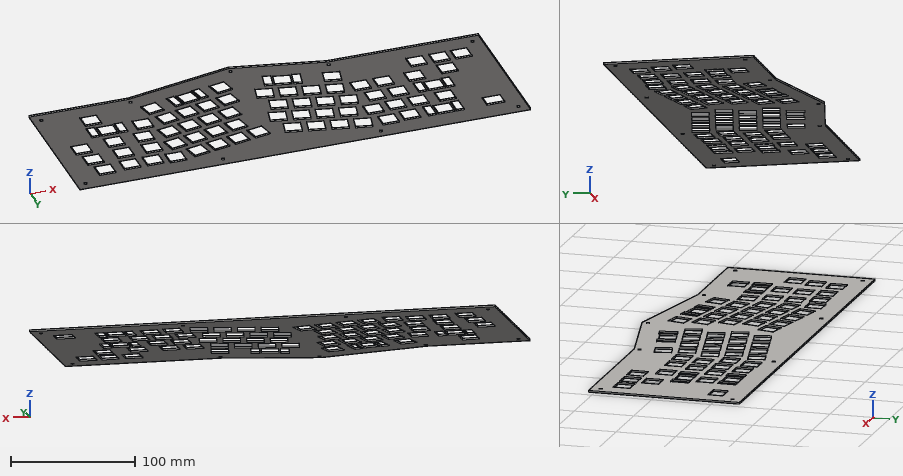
import cadquery as cq
import math

PLATE_LENGTH = 385.0
PLATE_DEPTH = 143.2
PLATE_THICKNESS = 1.5
LEFT_SIDE_DEPTH = 123.5
RIGHT_SIDE_DEPTH = 126.5
LEFT_BEND_X = -107.5
RIGHT_BEND_X = 63.0
POINT_X = -15.0

PLATE_LENGTH_IN_KEYS = 20.2
KEY_PITCH = PLATE_LENGTH / PLATE_LENGTH_IN_KEYS
KEY_WEB = 5.0
KEY_SIZE = KEY_PITCH - KEY_WEB

SLOT_WIDTH = 7.0
SLOT_HEIGHT = 15.0
SLOT_SPACING = 12.0
SLOT_DROP = 0.5

KNOB_CENTER = (169.5, 47.0)
KNOB_WIDTH = 15.5
KNOB_HEIGHT = 12.5

HOLE_DIAMETER = 2.55
TOP_HOLE_Y = 63.5
OUTER_HOLE_X = 184.8
INNER_HOLE_X = 67.5
LEFT_HOLE_Y = -43.5
RIGHT_HOLE_Y = -47.0
LEFT_BEND_HOLE_Y = -47.0
RIGHT_BEND_HOLE_Y = -50.5
POINT_HOLE_Y = -66.5
HOLE_CENTERS = [
    (-OUTER_HOLE_X, TOP_HOLE_Y),
    (-INNER_HOLE_X, TOP_HOLE_Y),
    (INNER_HOLE_X, TOP_HOLE_Y),
    (OUTER_HOLE_X, TOP_HOLE_Y),
    (-OUTER_HOLE_X, LEFT_HOLE_Y),
    (OUTER_HOLE_X, RIGHT_HOLE_Y),
    (LEFT_BEND_X, LEFT_BEND_HOLE_Y),
    (RIGHT_BEND_X, RIGHT_BEND_HOLE_Y),
    (POINT_X, POINT_HOLE_Y),
]

TOP_ROW_Y = 46.5
STRAIGHT_ROWS = [
    ([-141.0, -121.3, 98.0], [127.0]),
    ([-139.8, -115.5, 92.8, 112.0, 135.0], []),
    ([-141.0, -115.5, 82.0, 101.5], [132.5]),
    ([-109.7, 76.2, 96.0, 122.5], [-140.0]),
    ([-147.5], []),
]

INNER_KEYS = [(-102.5, 48.0), (79.5, 48.0), (73.5, 28.5)]
ARROW_ROW_Y = -32.0
UP_ARROW_Y = -13.5
ARROW_KEYS = [(131.5, ARROW_ROW_Y), (151.3, ARROW_ROW_Y), (169.8, ARROW_ROW_Y), (151.3, UP_ARROW_Y)]

SIDE_COLUMN_TOP = (-163.0, 48.0)
SIDE_COLUMN_STEP = (-3.5, -18.5)
SIDE_COLUMN_COUNT = 3

BLOCK_TILT = 12.0
KEYS_PER_ROW = 4
OUTER_KEY_DROP = 0.45
LEFT_BLOCK_ORIGIN = (-82.0, 44.3)
LEFT_ROW_STARTS = [0.0, -9.5, -4.0, 5.8]
LEFT_BOTTOM_OUTER = 4.0
LEFT_BOTTOM_INNER = 68.0
LEFT_BOTTOM_STABILIZED = 37.0
RIGHT_BLOCK_ORIGIN = (2.5, 34.5)
RIGHT_ROW_STARTS = [0.0, -9.5, -6.5, -15.5]
RIGHT_BOTTOM_OUTER = 42.0
RIGHT_BOTTOM_STABILIZED = 1.5


def offset_point(origin, along, across, tilt):
    """Point reached from origin by moving in a frame turned by tilt degrees."""
    cosine = math.cos(math.radians(tilt))
    sine = math.sin(math.radians(tilt))
    x = origin[0] + along * cosine - across * sine
    y = origin[1] + along * sine + across * cosine
    return (x, y)


def opening(center, width, height, tilt=0.0):
    """Rectangular cutter that passes through the plate."""
    cutter = cq.Workplane("XY").rect(width, height).extrude(PLATE_THICKNESS)
    cutter = cutter.rotate((0, 0, 0), (0, 0, 1), tilt)
    return cutter.translate((center[0], center[1], 0)).val()


def key(center, tilt=0.0):
    return opening(center, KEY_SIZE, KEY_SIZE, tilt)


def stabilized_key(center, tilt=0.0):
    """Key opening with a stabilizer slot on each side."""
    cutters = [key(center, tilt)]
    for side in (-1, 1):
        slot_center = offset_point(center, side * SLOT_SPACING, -SLOT_DROP, tilt)
        cutters.append(opening(slot_center, SLOT_WIDTH, SLOT_HEIGHT, tilt))
    return cutters


def straight_keys():
    cutters = [key(center) for center in INNER_KEYS + ARROW_KEYS]
    for row, (plain, stabilized) in enumerate(STRAIGHT_ROWS):
        y = TOP_ROW_Y - row * KEY_PITCH
        cutters += [key((x, y)) for x in plain]
        for x in stabilized:
            cutters += stabilized_key((x, y))
    for i in range(SIDE_COLUMN_COUNT):
        x = SIDE_COLUMN_TOP[0] + i * SIDE_COLUMN_STEP[0]
        y = SIDE_COLUMN_TOP[1] + i * SIDE_COLUMN_STEP[1]
        cutters.append(key((x, y)))
    return cutters


def tilted_block(origin, tilt, row_starts, bottom_outer, bottom_stabilized):
    """Full rows of keys, then one outer key and one stabilized key below them."""
    cutters = []
    for row, start in enumerate(row_starts):
        for column in range(KEYS_PER_ROW):
            center = offset_point(origin, start + column * KEY_PITCH, -row * KEY_PITCH, tilt)
            cutters.append(key(center, tilt))
    bottom = -len(row_starts) * KEY_PITCH
    outer_center = offset_point(origin, bottom_outer, bottom - OUTER_KEY_DROP, tilt)
    cutters.append(key(outer_center, tilt))
    cutters += stabilized_key(offset_point(origin, bottom_stabilized, bottom, tilt), tilt)
    return cutters


def plate():
    half_length = PLATE_LENGTH / 2
    top = PLATE_DEPTH / 2
    outline = [
        (-half_length, top),
        (half_length, top),
        (half_length, top - RIGHT_SIDE_DEPTH),
        (RIGHT_BEND_X, top - RIGHT_SIDE_DEPTH),
        (POINT_X, top - PLATE_DEPTH),
        (LEFT_BEND_X, top - LEFT_SIDE_DEPTH),
        (-half_length, top - LEFT_SIDE_DEPTH),
    ]
    return cq.Workplane("XY").polyline(outline).close().extrude(PLATE_THICKNESS)


def screw_holes():
    holes = cq.Workplane("XY").pushPoints(HOLE_CENTERS).circle(HOLE_DIAMETER / 2)
    return holes.extrude(PLATE_THICKNESS).vals()


def left_inner_key():
    """Extra bottom key of the left block, next to the middle of the plate."""
    bottom = -len(LEFT_ROW_STARTS) * KEY_PITCH
    center = offset_point(LEFT_BLOCK_ORIGIN, LEFT_BOTTOM_INNER, bottom, -BLOCK_TILT)
    return key(center, -BLOCK_TILT)


cutters = straight_keys() + screw_holes()
cutters.append(opening(KNOB_CENTER, KNOB_WIDTH, KNOB_HEIGHT))
cutters.append(left_inner_key())
cutters += tilted_block(
    LEFT_BLOCK_ORIGIN, -BLOCK_TILT, LEFT_ROW_STARTS, LEFT_BOTTOM_OUTER, LEFT_BOTTOM_STABILIZED
)
cutters += tilted_block(
    RIGHT_BLOCK_ORIGIN, BLOCK_TILT, RIGHT_ROW_STARTS, RIGHT_BOTTOM_OUTER, RIGHT_BOTTOM_STABILIZED
)
pierced_plate = plate().val().cut(*cutters)
result = cq.Workplane("XY").newObject([pierced_plate.Solids()[0]])